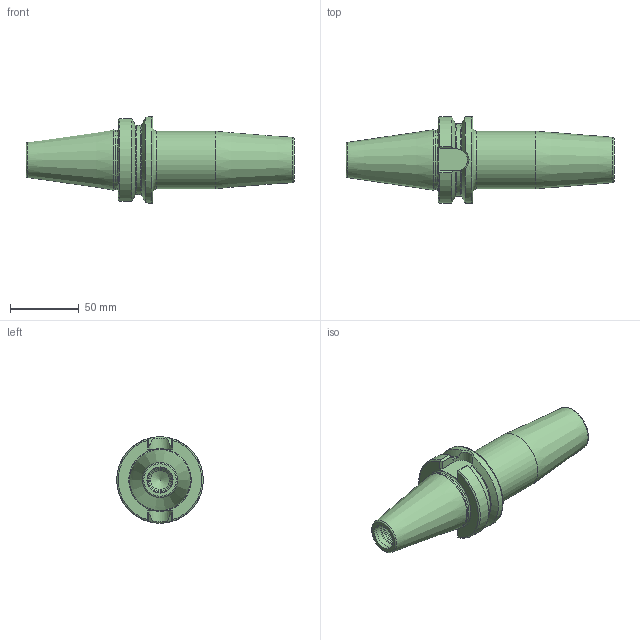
import cadquery as cq
import math


taper_ratio = 7 / 24
gauge_diameter = 44.45
shank_length = 65.4
shank_fillet = 1.0
taper_end_x = -1.4
neck_start_x = -0.4
neck_radius = 21.8
neck_fillet = 1.0

flange_diameter = 63.0
flange_front_x = 2.0
flange_back_x = 27.0
flange_fillet = 1.0
groove_diameter = 52.8
groove_center_x = 16.6
groove_width = 10.0
groove_fillet = 0.7
groove_half_angle = math.radians(30)

body_diameter = 42.0
nose_diameter = 33.0
nose_angle = math.radians(4.5)
nose_x = 130.0
nose_fillet = 1.0
root_fillet = 3.0

slot_width = 16.1
slot_floor_z = 22.6
slot_end_x = 23.2
slot_bevel = 1.15
rim_bevel_width = 1.4
rim_bevel_angle = math.radians(38)

mouth_diameter = 19.0
mouth_depth = 2.3
recess_diameter = 18.2
recess_depth = 6.3
pilot_diameter = 17.0
pilot_depth = 8.3
thread_diameter = 16.0
thread_lead_depth = 10.0
thread_core_diameter = 13.835
bore_depth = 40.0
bore_step_bevel = 0.5
drill_tip_half_angle = math.radians(59)


clearance = 1.0
tolerance = 0.01


def taper_radius(x):
    """Radius of the steep taper at position x."""
    return (gauge_diameter + taper_ratio * x) / 2


def circles_at(body, x, radius):
    """Pick the circular edges of a given radius lying in the plane at position x."""
    def matches(edge):
        same_plane = abs(edge.Center().x - x) < tolerance
        return same_plane and abs(edge.radius() - radius) < tolerance

    return body.edges("%CIRCLE").filter(matches)


def make_outer_body():
    """Revolve the complete outer outline about the X axis, then round its corners."""
    flange_radius = flange_diameter / 2
    groove_radius = groove_diameter / 2
    body_radius = body_diameter / 2
    nose_radius = nose_diameter / 2
    groove_run = (flange_radius - groove_radius) * math.tan(groove_half_angle)
    groove_left = groove_center_x - groove_width / 2
    groove_right = groove_center_x + groove_width / 2
    cone_start_x = nose_x - (body_radius - nose_radius) / math.tan(nose_angle)

    shank_corner = (-shank_length, taper_radius(-shank_length))
    neck_corner = (flange_front_x, neck_radius)
    front_rim = (flange_front_x, flange_radius)
    groove_floor_left = (groove_left + groove_run, groove_radius)
    groove_floor_right = (groove_right - groove_run, groove_radius)
    back_rim = (flange_back_x, flange_radius)
    root_corner = (flange_back_x, body_radius)
    nose_corner = (nose_x, nose_radius)

    outline = cq.Workplane("XY").polyline([
        (-shank_length, 0),
        shank_corner,
        (taper_end_x, taper_radius(taper_end_x)),
        (neck_start_x, neck_radius),
        neck_corner,
        front_rim,
        (groove_left, flange_radius),
        groove_floor_left,
        groove_floor_right,
        (groove_right, flange_radius),
        back_rim,
        root_corner,
        (cone_start_x, body_radius),
        nose_corner,
        (nose_x, 0),
    ]).close()
    body = outline.revolve(360, (0, 0, 0), (1, 0, 0))

    rounded_corners = (
        (shank_corner, shank_fillet),
        (neck_corner, neck_fillet),
        (front_rim, flange_fillet),
        (groove_floor_left, groove_fillet),
        (groove_floor_right, groove_fillet),
        (back_rim, flange_fillet),
        (root_corner, root_fillet),
        (nose_corner, nose_fillet),
    )
    for (x, radius), fillet_radius in rounded_corners:
        body = circles_at(body, x, radius).fillet(fillet_radius)
    return body


def make_pull_stud_bore():
    """Revolve the stepped blind bore in the small end of the shank."""
    core_radius = thread_core_diameter / 2
    core_start_depth = thread_lead_depth + thread_diameter / 2 - core_radius
    tip_depth = bore_depth + core_radius / math.tan(drill_tip_half_angle)
    depths_and_diameters = (
        (0, mouth_diameter),
        (mouth_depth, recess_diameter),
        (recess_depth, recess_diameter),
        (recess_depth + bore_step_bevel, pilot_diameter),
        (pilot_depth, pilot_diameter),
        (pilot_depth + bore_step_bevel, thread_diameter),
        (thread_lead_depth, thread_diameter),
        (core_start_depth, thread_core_diameter),
        (bore_depth, thread_core_diameter),
    )
    outline = cq.Workplane("XY").moveTo(-shank_length, 0)
    for depth, diameter in depths_and_diameters:
        outline = outline.lineTo(depth - shank_length, diameter / 2)
    outline = outline.lineTo(tip_depth - shank_length, 0).close()
    return outline.revolve(360, (0, 0, 0), (1, 0, 0))


def make_drive_slot():
    """Round-ended drive slot on the +Z side, with its mouth bevelled at the flange face."""
    half_width = slot_width / 2
    slot_height = flange_diameter / 2 - slot_floor_z + clearance
    arc_center_x = slot_end_x - half_width
    bevel_end_x = flange_front_x + slot_bevel
    entry_x = flange_front_x - clearance
    entry_half_width = half_width + slot_bevel + clearance
    return (
        cq.Workplane("XY", origin=(0, 0, slot_floor_z))
        .moveTo(entry_x, -entry_half_width)
        .lineTo(bevel_end_x, -half_width)
        .lineTo(arc_center_x, -half_width)
        .threePointArc((slot_end_x, 0), (arc_center_x, half_width))
        .lineTo(bevel_end_x, half_width)
        .lineTo(entry_x, entry_half_width)
        .close()
        .extrude(slot_height)
    )


def make_front_rim_bevel():
    """Flared prism along the slot that bevels its edges on the front rim."""
    half_width = slot_width / 2
    outer_half_width = half_width + rim_bevel_width
    rim_z = math.sqrt((flange_diameter / 2) ** 2 - outer_half_width ** 2)
    slope = math.tan(rim_bevel_angle)
    bottom_z = rim_z - rim_bevel_width * slope
    top_z = rim_z + clearance * slope
    top_half_width = outer_half_width + clearance
    return (
        cq.Workplane("YZ", origin=(flange_front_x - clearance, 0, 0))
        .moveTo(-half_width, bottom_z)
        .lineTo(half_width, bottom_z)
        .lineTo(top_half_width, top_z)
        .lineTo(-top_half_width, top_z)
        .close()
        .extrude(groove_center_x - flange_front_x + clearance)
    )


def bevel_slot_end(body, side):
    """Bevel the curved edge where the slot end meets the back rim on the +Z or -Z side."""
    edge_point = (slot_end_x, 0, side * flange_diameter / 2)
    return body.edges(cq.selectors.NearestToPointSelector(edge_point)).chamfer(slot_bevel)


def cut_drive_slots(body):
    """Cut the two opposite drive slots with their bevels."""
    slot = make_drive_slot()
    rim_bevel = make_front_rim_bevel()
    for angle, side in ((0, 1), (180, -1)):
        body = body.cut(slot.rotate((0, 0, 0), (1, 0, 0), angle))
        body = bevel_slot_end(body, side)
        body = body.cut(rim_bevel.rotate((0, 0, 0), (1, 0, 0), angle))
    return body


holder = make_outer_body().cut(make_pull_stud_bore())
result = cut_drive_slots(holder)